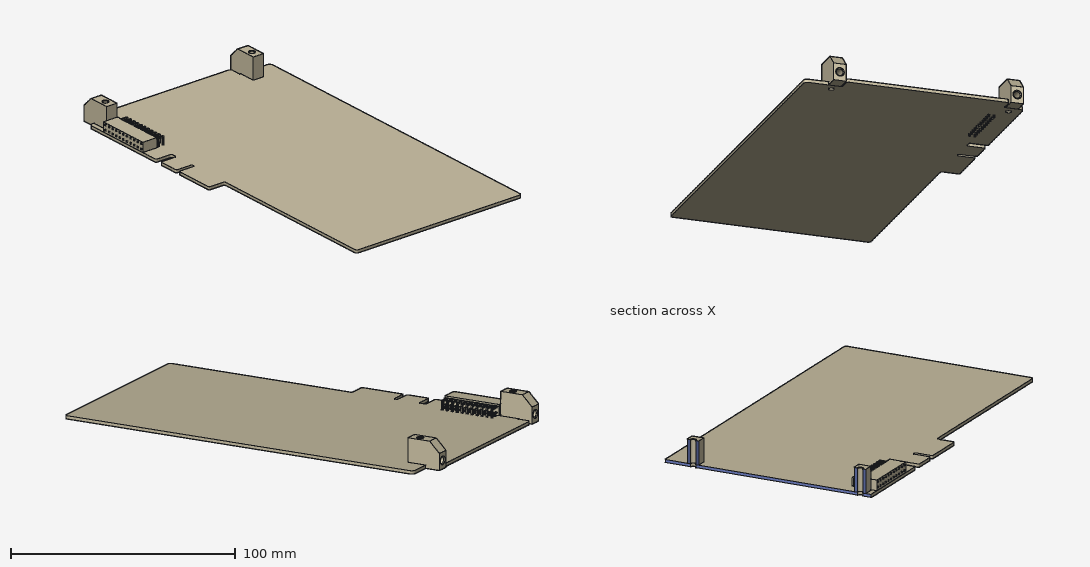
import cadquery as cq

board_right = 185.5
board_width = 103.5
board_left = 0.7
board_bottom = 0.83
board_thickness = 1.6
board_top = board_bottom + board_thickness
edge_radius = 1.3

ear_left = 7.0
ear_radius = 1.9

tab_depth = 8.9
tabs_right = 92.0
wide_slot_left = 54.4
wide_slot_right = 57.7
narrow_slot_left = 68.8
narrow_slot_right = 70.7
tab_radius = 0.7

bracket_length = 16.1
bracket_width = 6.0
bracket_height = 13.0
bracket_top = board_bottom + bracket_height
bracket_chamfer = 5.0
bracket_clearance = 0.5
bracket_inset = 2.6
first_bracket_y = bracket_inset + bracket_width / 2
bracket_pitch = 83.8
bracket_ys = [first_bracket_y, first_bracket_y + bracket_pitch]

top_screw_diameter = 2.6
top_mouth_diameter = 3.2
front_screw_diameter = 3.2
front_mouth_diameter = 4.0
mouth_angle = 90
top_screw_x = 11.5
front_screw_z = board_bottom + 4.0
front_screw_depth = 7.5

pin_columns = 11
pin_row_span = 25.5
pin_pitch = pin_row_span / (pin_columns - 1)
pin_size = 0.65
pin_bend_radius = 0.5
pin_hole_diameter = 1.0
connector_x = 31.0
inner_leg_y = 10.0
lower_pin_z = board_top + 1.3
pin_xs = [connector_x + (i - (pin_columns - 1) / 2) * pin_pitch for i in range(pin_columns)]
pin_rows = [
    (inner_leg_y, lower_pin_z),
    (inner_leg_y + pin_pitch, lower_pin_z + pin_pitch),
]

housing_width = pin_columns * pin_pitch
housing_depth = 8.2
housing_height = 5.0
strip_thickness = 0.5
strip_top = lower_pin_z + pin_pitch + pin_size / 2


def make_box(x_range, y_range, z_range):
    """Box between two limits along each axis."""
    (x0, x1), (y0, y1), (z0, z1) = x_range, y_range, z_range
    return cq.Workplane("XY", origin=(x0, y0, z0)).box(x1 - x0, y1 - y0, z1 - z0, centered=False)


def span(center, size):
    """Limits of a length centred on a point."""
    return (center - size / 2, center + size / 2)


def round_corners(board, points, radius):
    """Fillet the vertical board edges at the given outline points."""
    reach = 0.1
    for x, y in points:
        corner = cq.selectors.BoxSelector((x - reach, y - reach, 0), (x + reach, y + reach, board_top))
        board = board.edges("|Z").edges(corner).fillet(radius)
    return board


def drill_board(board, points, diameter):
    """Round holes through the board at the given points."""
    return board.cut(cq.Workplane("XY").pushPoints(points).circle(diameter / 2).extrude(board_top))


def make_board():
    bracket_reach = bracket_width / 2 + bracket_clearance
    middle_front = bracket_ys[0] + bracket_reach
    middle_back = bracket_ys[-1] - bracket_reach

    tab_corners = [
        (wide_slot_left, 0),
        (wide_slot_left, tab_depth),
        (wide_slot_right, tab_depth),
        (wide_slot_right, 0),
        (narrow_slot_left, 0),
        (narrow_slot_left, tab_depth),
        (narrow_slot_right, tab_depth),
        (narrow_slot_right, 0),
        (tabs_right, 0),
        (tabs_right, tab_depth),
    ]
    right_corners = [(board_right, tab_depth), (board_right, board_width)]
    middle_corners = [(board_left, middle_back), (board_left, middle_front)]
    ear_corners = [(ear_left, 0), (ear_left, board_width)]
    outline = [
        ear_corners[0],
        *tab_corners,
        *right_corners,
        ear_corners[1],
        (ear_left, middle_back),
        *middle_corners,
        (ear_left, middle_front),
    ]
    board = cq.Workplane("XY", origin=(0, 0, board_bottom)).polyline(outline).close().extrude(board_thickness)
    board = round_corners(board, tab_corners, tab_radius)
    board = round_corners(board, right_corners + middle_corners, edge_radius)
    board = round_corners(board, ear_corners, ear_radius)

    screw_points = [(top_screw_x, y) for y in bracket_ys]
    pin_points = [(x, leg_y) for x in pin_xs for leg_y, _ in pin_rows]
    board = drill_board(board, screw_points, top_screw_diameter)
    return drill_board(board, pin_points, pin_hole_diameter)


def make_bracket(center_y):
    profile = [
        (0, board_bottom),
        (ear_left, board_bottom),
        (ear_left, board_top),
        (bracket_length, board_top),
        (bracket_length, bracket_top),
        (bracket_chamfer, bracket_top),
        (0, bracket_top - bracket_chamfer),
    ]
    bracket = (
        cq.Workplane("XZ", origin=(0, center_y, 0))
        .polyline(profile)
        .close()
        .extrude(bracket_width / 2, both=True)
    )
    top_plane = cq.Workplane("XY", origin=(top_screw_x, center_y, bracket_top))
    bracket = bracket.copyWorkplane(top_plane).cskHole(
        top_screw_diameter, top_mouth_diameter, mouth_angle
    )
    front_plane = cq.Workplane(cq.Plane((0, center_y, front_screw_z), xDir=(0, 1, 0), normal=(-1, 0, 0)))
    return bracket.copyWorkplane(front_plane).cskHole(
        front_screw_diameter, front_mouth_diameter, mouth_angle, depth=front_screw_depth
    )


def make_housing():
    housing = make_box(
        span(connector_x, housing_width), (0, housing_depth), (board_top, board_top + housing_height)
    )
    for x in pin_xs:
        for _, run_z in pin_rows:
            housing = housing.cut(make_box(span(x, pin_size), (0, housing_depth), span(run_z, pin_size)))
    return housing


def make_pin(x, leg_y, run_z):
    """Straight run from the housing front to the bend, then a leg down to Z = 0."""
    leg_back = leg_y + pin_size / 2
    run = make_box(span(x, pin_size), (0, leg_back), span(run_z, pin_size))
    leg = make_box(span(x, pin_size), span(leg_y, pin_size), (0, run_z))
    return run.union(leg).edges("|X and >Y and >Z").fillet(pin_bend_radius)


def make_pin_strip():
    strip_y = (housing_depth, housing_depth + strip_thickness)
    strip = make_box(span(connector_x, housing_width), strip_y, (board_top, strip_top))
    for x in pin_xs:
        for leg_y, run_z in pin_rows:
            strip = strip.union(make_pin(x, leg_y, run_z))
    return strip


board = make_board()
brackets = [make_bracket(y) for y in bracket_ys]
housing = make_housing()
pin_strip = make_pin_strip()

result = cq.Compound.makeCompound(
    [board.val(), *[bracket.val() for bracket in brackets], housing.val(), pin_strip.val()]
)